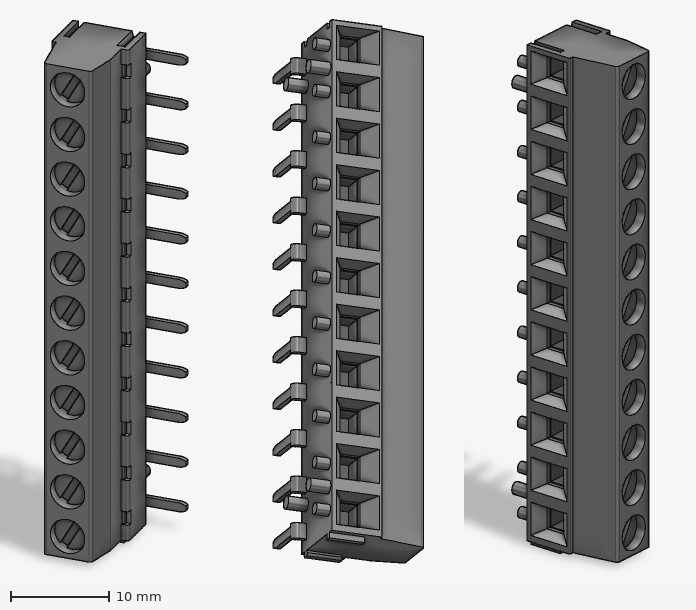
import cadquery as cq


POLES = 11
PITCH = 5.0
TOTAL_HEIGHT = 55.6
RIB_HEIGHT = 0.6
TOTAL_WIDTH = 12.05
TOTAL_DEPTH = 12.9
PEG_LENGTH = 2.15
BODY_HEIGHT = TOTAL_HEIGHT - RIB_HEIGHT
BODY_DEPTH = TOTAL_DEPTH - PEG_LENGTH

FLANGE_X = 8.05
FLANGE_DEPTH = 4.5
FLANGE_FILLET = 0.3
SIDE_X = 7.25
SIDE_DEPTH = 7.3
ENTRY_DEPTH = 5.55
ENTRY_FILLET = 0.1
LEDGE = 0.5
NOSE_LEFT = 1.35
NOSE_RIGHT = 6.55
NOSE_FILLET = 0.35

POLE_HEIGHTS = [BODY_HEIGHT - PITCH * (pole + 0.5) for pole in range(POLES)]

SCREW_X = 3.95
SCREW_DIAMETER = 3.8
SCREW_RECESS = 1.1
DRIVER_SLOT_WIDTH = 0.85
DRIVER_SLOT_DEPTH = 0.45
DRIVER_SLOT_ANGLE = 60.0

FUNNEL_BACK = 0.5
FUNNEL_DEPTH_Y = 4.7
FUNNEL_HEIGHT = 3.65
FUNNEL_LENGTH = 1.4
FUNNEL_Z_SHIFT = 0.1
MOUTH_BACK = 1.5
MOUTH_DEPTH_Y = 2.15
MOUTH_HEIGHT = 2.6
MOUTH_LENGTH = 0.5
CLAMP_STEP = 0.1
CLAMP_LENGTH = 2.2

NOTCH_Z_SHIFT = 0.05
NOTCH_HEIGHT = 1.5
NOTCH_STEP_X = 7.55
NOTCH_SHALLOW = 0.2
NOTCH_DEEP = 0.55

LOCATING_PEG_DIAMETER = 1.4
LEFT_PEG_X = 0.95
RIGHT_PEG_X = 6.95
SHORT_PEG_DIAMETER = 1.2
SHORT_PEG_LENGTH = 1.5

PIN_REACH = SHORT_PEG_LENGTH
PIN_DROP = 0.4
PIN_THICKNESS = 0.55
PIN_WIDTH = 1.0
PIN_TIP_WIDTH = 0.5
PIN_TIP_LENGTH = 0.85
LEG_X = 6.7
LEG_WIDTH = 1.65
BEND_INNER_RADIUS = 0.1
BEND_OUTER_RADIUS = BEND_INNER_RADIUS + PIN_THICKNESS

RIB_LENGTH = 3.85
LEFT_RIB_X = 0.95
LEFT_RIB_WIDTH = 0.6
RIGHT_RIB_X = 6.95
RIB_NECK_WIDTH = 0.5
RIB_BULGE_WIDTH = 0.9
RIB_TIP_WIDTH = 0.65
GROOVE_DEPTH = RIB_HEIGHT

EMBED = 0.3


def box(x_min, x_max, y_min, y_max, z_min, z_max):
    return (
        cq.Workplane("XY")
        .box(x_max - x_min, y_max - y_min, z_max - z_min, centered=False)
        .translate((x_min, y_min, z_min))
    )


def body():
    outline = [
        (0, 0),
        (FLANGE_X, 0),
        (FLANGE_X, -FLANGE_DEPTH),
        (SIDE_X, -FLANGE_DEPTH),
        (SIDE_X, -SIDE_DEPTH),
        (NOSE_RIGHT, -BODY_DEPTH),
        (NOSE_LEFT, -BODY_DEPTH),
        (LEDGE, -ENTRY_DEPTH),
        (0, -ENTRY_DEPTH),
    ]
    block = cq.Workplane("XY").polyline(outline).close().extrude(BODY_HEIGHT)
    block = block.edges("|Z").edges("<Y").fillet(NOSE_FILLET)
    flange_corner = cq.selectors.NearestToPointSelector((FLANGE_X, -FLANGE_DEPTH, BODY_HEIGHT / 2))
    block = block.edges(flange_corner).fillet(FLANGE_FILLET)
    entry_corner = cq.selectors.NearestToPointSelector((0, -ENTRY_DEPTH, BODY_HEIGHT / 2))
    return block.edges(entry_corner).fillet(ENTRY_FILLET)


def screw_recess(z):
    """Round recess with a slanted driver slot in its floor."""
    front = cq.Workplane("XZ", origin=(SCREW_X, -BODY_DEPTH, z))
    recess = front.circle(SCREW_DIAMETER / 2).extrude(-SCREW_RECESS)
    slot_depth = SCREW_RECESS + DRIVER_SLOT_DEPTH
    slot = front.transformed(rotate=(0, 0, DRIVER_SLOT_ANGLE)).rect(SCREW_DIAMETER, DRIVER_SLOT_WIDTH)
    slot = slot.extrude(-slot_depth)
    shaft = front.circle(SCREW_DIAMETER / 2).extrude(-slot_depth)
    return recess.union(slot.intersect(shaft))


def wire_entry(z):
    """Funnel in the -X face leading through the mouth to the clamp pocket."""
    funnel_y = -FUNNEL_BACK - FUNNEL_DEPTH_Y / 2
    mouth_y = -MOUTH_BACK - MOUTH_DEPTH_Y / 2
    mouth_z = z + FUNNEL_Z_SHIFT
    funnel = (
        cq.Workplane("YZ", origin=(0, funnel_y, mouth_z))
        .rect(FUNNEL_DEPTH_Y, FUNNEL_HEIGHT)
        .workplane(offset=FUNNEL_LENGTH)
        .center(mouth_y - funnel_y, 0)
        .rect(MOUTH_DEPTH_Y, MOUTH_HEIGHT)
        .loft(ruled=True)
    )
    mouth_end = FUNNEL_LENGTH + MOUTH_LENGTH
    mouth_front = -MOUTH_BACK - MOUTH_DEPTH_Y
    mouth_bottom = mouth_z - MOUTH_HEIGHT / 2
    mouth_top = mouth_z + MOUTH_HEIGHT / 2
    mouth = box(FUNNEL_LENGTH, mouth_end, mouth_front, -MOUTH_BACK, mouth_bottom, mouth_top)
    clamp = box(
        mouth_end, mouth_end + CLAMP_LENGTH,
        mouth_front + CLAMP_STEP, -MOUTH_BACK - CLAMP_STEP,
        mouth_bottom + CLAMP_STEP, mouth_top - CLAMP_STEP,
    )
    return funnel.union(mouth).union(clamp)


def flange_notch(z):
    """Two-step notch in the -Y face of the flange, open to the +X side."""
    bottom = z + NOTCH_Z_SHIFT - NOTCH_HEIGHT / 2
    top = bottom + NOTCH_HEIGHT
    shallow = box(SIDE_X, FLANGE_X, -FLANGE_DEPTH, -FLANGE_DEPTH + NOTCH_SHALLOW, bottom, top)
    deep = box(NOTCH_STEP_X, FLANGE_X, -FLANGE_DEPTH, -FLANGE_DEPTH + NOTCH_DEEP, bottom, top)
    return shallow.union(deep)


def peg(x, z, diameter, length):
    base = cq.Workplane("XZ", origin=(x, -EMBED, z))
    return base.circle(diameter / 2).extrude(-(length + EMBED))


def solder_pin(pole_z):
    """Flat pin: a wide leg leaves the back face, bends to +X and narrows to a tapered tip."""
    z = pole_z - PIN_DROP
    outer_y = PIN_REACH
    inner_y = outer_y - PIN_THICKNESS
    bend_end_x = LEG_X + BEND_OUTER_RADIUS
    bend_start_y = outer_y - BEND_OUTER_RADIUS
    leg = (
        cq.Workplane("XY", origin=(0, 0, z - LEG_WIDTH / 2))
        .moveTo(LEG_X, -EMBED)
        .lineTo(LEG_X, bend_start_y)
        .radiusArc((bend_end_x, outer_y), BEND_OUTER_RADIUS)
        .lineTo(bend_end_x, inner_y)
        .radiusArc((LEG_X + PIN_THICKNESS, bend_start_y), -BEND_INNER_RADIUS)
        .lineTo(LEG_X + PIN_THICKNESS, -EMBED)
        .close()
        .extrude(LEG_WIDTH)
    )
    taper_x = TOTAL_WIDTH - PIN_TIP_LENGTH
    blade = (
        cq.Workplane("XZ", origin=(0, inner_y, z))
        .moveTo(bend_end_x, 0)
        .lineTo(bend_end_x, PIN_WIDTH / 2)
        .lineTo(taper_x, PIN_WIDTH / 2)
        .tangentArcPoint((TOTAL_WIDTH, PIN_TIP_WIDTH / 2), relative=False)
        .lineTo(TOTAL_WIDTH, 0)
        .mirrorX()
        .extrude(-PIN_THICKNESS)
    )
    return leg.union(blade)


def right_strip(half_outline):
    """Prism along Y from the back face, symmetric about RIGHT_RIB_X; points are (width, height)."""
    left = [(RIGHT_RIB_X - width / 2, z) for width, z in half_outline]
    right = [(RIGHT_RIB_X + width / 2, z) for width, z in reversed(half_outline)]
    return cq.Workplane("XZ").polyline(left + right).close().extrude(RIB_LENGTH)


def left_strip(z_min, z_max):
    half_width = LEFT_RIB_WIDTH / 2
    return box(LEFT_RIB_X - half_width, LEFT_RIB_X + half_width, -RIB_LENGTH, 0, z_min, z_max)


result = body()

for pole_z in POLE_HEIGHTS:
    result = result.cut(screw_recess(pole_z)).cut(wire_entry(pole_z)).cut(flange_notch(pole_z))
    result = result.union(peg(LEFT_PEG_X, pole_z, SHORT_PEG_DIAMETER, SHORT_PEG_LENGTH))
    result = result.union(solder_pin(pole_z))

for peg_z in (POLE_HEIGHTS[0] - PITCH / 2, POLE_HEIGHTS[-1] + PITCH / 2):
    for peg_x in (LEFT_PEG_X, RIGHT_PEG_X):
        result = result.union(peg(peg_x, peg_z, LOCATING_PEG_DIAMETER, PEG_LENGTH))

result = result.union(left_strip(-RIB_HEIGHT, EMBED))
result = result.union(
    right_strip([
        (RIB_NECK_WIDTH, 0),
        (RIB_BULGE_WIDTH, -RIB_HEIGHT / 2),
        (RIB_TIP_WIDTH, -RIB_HEIGHT),
    ])
)

result = result.cut(left_strip(BODY_HEIGHT - GROOVE_DEPTH, BODY_HEIGHT))
result = result.cut(
    right_strip([
        (RIB_BULGE_WIDTH, BODY_HEIGHT),
        (RIB_NECK_WIDTH, BODY_HEIGHT - GROOVE_DEPTH),
    ])
)